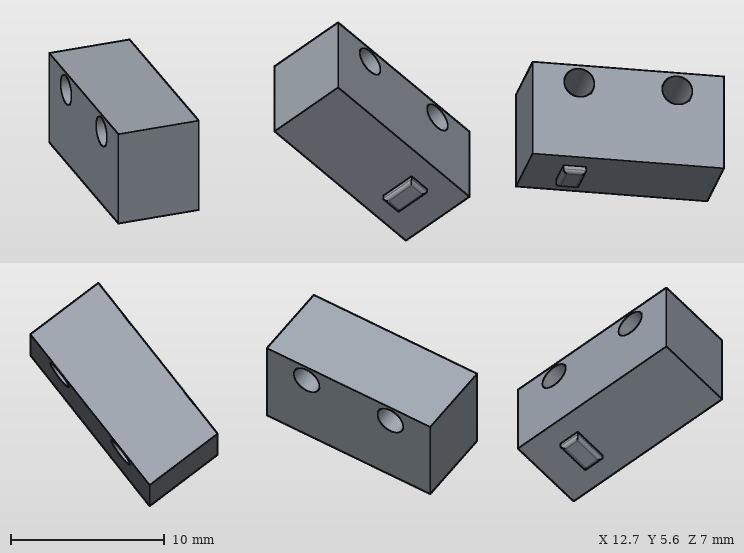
import cadquery as cq

LENGTH = 12.7
DEPTH = 5.6
HEIGHT = 6.5

HOLE_DIAMETER = 2.0
HOLE_SPACING = 6.5
HOLE_DROP = 1.25

PLUNGER_LENGTH = 1.5
PLUNGER_DEPTH = 2.5
PLUNGER_TRAVEL = 0.5
PLUNGER_ROUNDING = PLUNGER_TRAVEL / 2
PLUNGER_X = HOLE_SPACING / 2
PLUNGER_Y = 0.05


def make_housing():
    """Block with two mounting holes running from front to back."""
    block = cq.Workplane("XY").box(LENGTH, DEPTH, HEIGHT, centered=(True, True, False))
    hole_z = HEIGHT - HOLE_DROP
    holes = (
        cq.Workplane("XZ")
        .pushPoints([(-HOLE_SPACING / 2, hole_z), (HOLE_SPACING / 2, hole_z)])
        .circle(HOLE_DIAMETER / 2)
        .extrude(DEPTH / 2, both=True)
    )
    return block.cut(holes)


def make_plunger():
    """Rectangular button under the housing, rounded along its lower rim."""
    return (
        cq.Workplane("XY")
        .center(PLUNGER_X, PLUNGER_Y)
        .rect(PLUNGER_LENGTH, PLUNGER_DEPTH)
        .extrude(-PLUNGER_TRAVEL)
        .faces("<Z")
        .edges()
        .fillet(PLUNGER_ROUNDING)
    )


housing = make_housing()
plunger = make_plunger()
result = cq.Compound.makeCompound([housing.val(), plunger.val()])